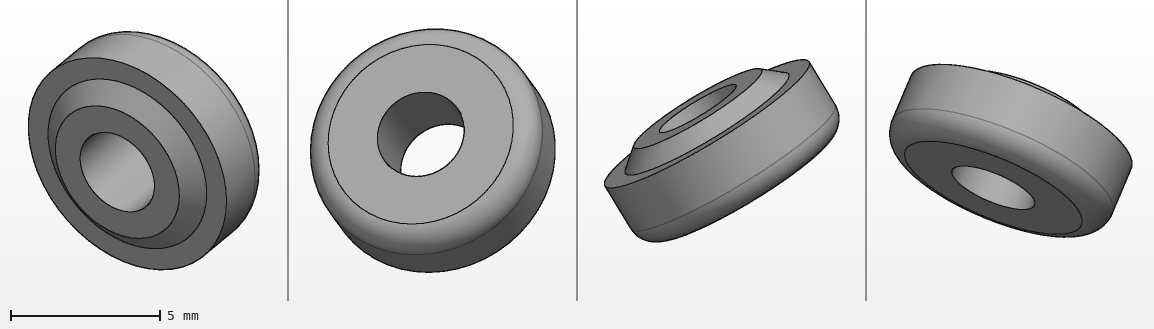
import cadquery as cq

outer_diameter = 8.0
core_diameter = 6.4
core_end_diameter = 5.0
bore_diameter = 3.0
tyre_width = 2.5
cone_height = 0.6

outer_radius = outer_diameter / 2
core_radius = core_diameter / 2
core_end_radius = core_end_diameter / 2
bore_radius = bore_diameter / 2
rim_radius = outer_radius - core_radius
rim_start = tyre_width - rim_radius

axis_start = (0, 0, 0)
axis_end = (0, 1, 0)


def make_tyre():
    """Ring with a flat front at Y = 0 and a quarter-round back."""
    profile = (
        cq.Workplane("XY")
        .moveTo(core_radius, 0)
        .lineTo(outer_radius, 0)
        .lineTo(outer_radius, rim_start)
        .radiusArc((core_radius, tyre_width), -rim_radius)
        .close()
    )
    return profile.revolve(360, axis_start, axis_end)


def make_core():
    """Bored core filling the tyre, with a cone standing out of its front."""
    profile = (
        cq.Workplane("XY")
        .moveTo(bore_radius, -cone_height)
        .lineTo(core_end_radius, -cone_height)
        .lineTo(core_radius, 0)
        .lineTo(core_radius, tyre_width)
        .lineTo(bore_radius, tyre_width)
        .close()
    )
    return profile.revolve(360, axis_start, axis_end)


tyre = make_tyre()
core = make_core()

result = cq.Compound.makeCompound([tyre.val(), core.val()])